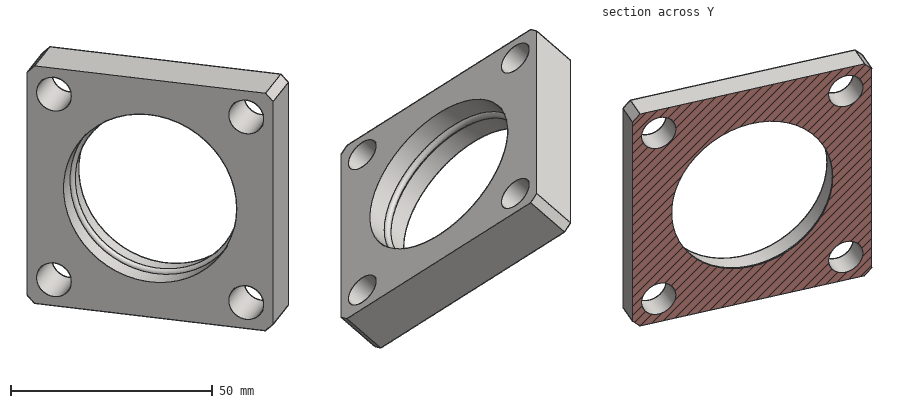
import cadquery as cq

side = 64.0
thickness = 13.0
corner_chamfer = 2.0
bore_diameter = 45.0
bead_radius = 1.0
bolt_hole_diameter = 9.0
bolt_spacing = 50.0

bore_radius = bore_diameter / 2
half_thickness = thickness / 2


def make_plate():
    """Square plate centred on the origin, with its four corners cut off."""
    plate = cq.Workplane("XY").box(side, thickness, side)
    return plate.edges("|Y").chamfer(corner_chamfer)


def make_bolt_holes():
    """Four through-hole cutters, one near each corner."""
    return (
        cq.Workplane("XZ")
        .rect(bolt_spacing, bolt_spacing, forConstruction=True)
        .vertices()
        .circle(bolt_hole_diameter / 2)
        .extrude(half_thickness, both=True)
    )


def make_bore():
    """Bore cutter with a half-round groove, which leaves a bead inside the bore at mid thickness."""
    return (
        cq.Workplane("XY")
        .moveTo(0, -half_thickness)
        .lineTo(bore_radius, -half_thickness)
        .lineTo(bore_radius, -bead_radius)
        .threePointArc((bore_radius - bead_radius, 0), (bore_radius, bead_radius))
        .lineTo(bore_radius, half_thickness)
        .lineTo(0, half_thickness)
        .close()
        .revolve(360, (0, 0, 0), (0, 1, 0))
    )


result = make_plate().cut(make_bolt_holes()).cut(make_bore())